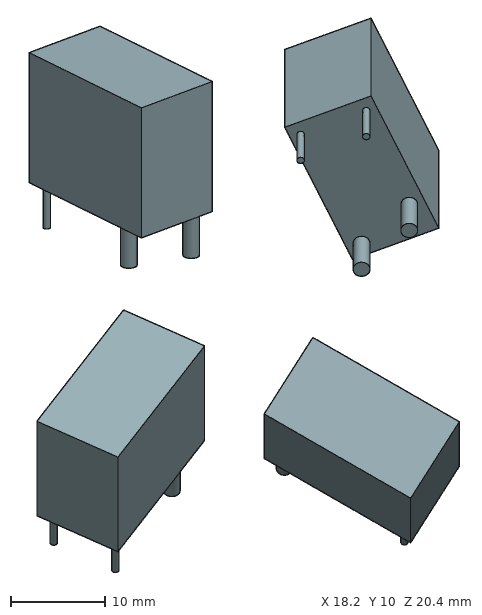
import cadquery as cq


housing_length = 18.2
housing_width = 10.0
total_height = 20.4
pin_length = 5.1
housing_height = total_height - pin_length

thin_pin_diameter = 0.8
thick_pin_diameter = 1.8
outer_column_x = 7.6
inner_column_x = 5.1

thin_pin_y = 3.8
thick_pin_y = thin_pin_y + (thin_pin_diameter - thick_pin_diameter) / 2

thin_pin_places = [(-outer_column_x, side * thin_pin_y) for side in (-1, 1)]
thick_pin_places = [
    (inner_column_x, -thick_pin_y),
    (outer_column_x, thick_pin_y),
]


def make_housing():
    """Plain block standing on the Z = 0 plane."""
    return cq.Workplane("XY").box(
        housing_length, housing_width, housing_height, centered=(True, True, False)
    )


def make_pin(place, diameter):
    """Round pin hanging down from the housing floor."""
    return cq.Workplane("XY").center(*place).circle(diameter / 2).extrude(-pin_length)


housing = make_housing()
thin_pins = [make_pin(place, thin_pin_diameter) for place in thin_pin_places]
thick_pins = [make_pin(place, thick_pin_diameter) for place in thick_pin_places]

result = cq.Compound.makeCompound(
    [housing.val()] + [pin.val() for pin in thin_pins + thick_pins]
)